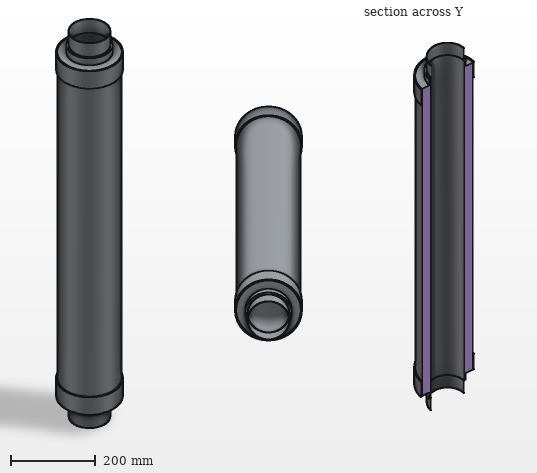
import cadquery as cq

total_length = 1120.0
ring_outer_diameter = 159.0

barrel_diameter = 152.0
collar_diameter = 110.0
collar_length = 20.0
spigot_diameter = 100.0
spigot_length = 40.0
spigot_wall = 1.0
bore_diameter = 99.0

ring_length = 50.0

barrel_length = total_length - 2 * (spigot_length + collar_length)
collared_length = barrel_length + 2 * collar_length
spigot_bore_diameter = spigot_diameter - 2 * spigot_wall


def centred_cylinder(diameter, length):
    """Cylinder along Z, centred on the origin."""
    return cq.Workplane("XY").workplane(offset=-length / 2).circle(diameter / 2).extrude(length)


def spigot_bore(end):
    """Bore inside the spigot at the top (end = 1) or bottom (end = -1)."""
    return (
        cq.Workplane("XY")
        .workplane(offset=end * collared_length / 2)
        .circle(spigot_bore_diameter / 2)
        .extrude(end * spigot_length)
    )


def make_silencer():
    """Stepped cylinder with a through bore that changes size inside both spigots."""
    silencer = centred_cylinder(barrel_diameter, barrel_length)
    silencer = silencer.union(centred_cylinder(collar_diameter, collared_length))
    silencer = silencer.union(centred_cylinder(spigot_diameter, total_length))
    silencer = silencer.cut(centred_cylinder(bore_diameter, collared_length))
    for end in (1, -1):
        silencer = silencer.cut(spigot_bore(end))
    return silencer


def make_end_ring(end):
    """Ring around the top (end = 1) or bottom (end = -1) of the barrel."""
    return (
        cq.Workplane("XY")
        .workplane(offset=end * barrel_length / 2)
        .circle(ring_outer_diameter / 2)
        .circle(barrel_diameter / 2)
        .extrude(-end * ring_length)
    )


silencer = make_silencer()
end_rings = [make_end_ring(end) for end in (1, -1)]

result = cq.Compound.makeCompound([silencer.val(), *[ring.val() for ring in end_rings]])